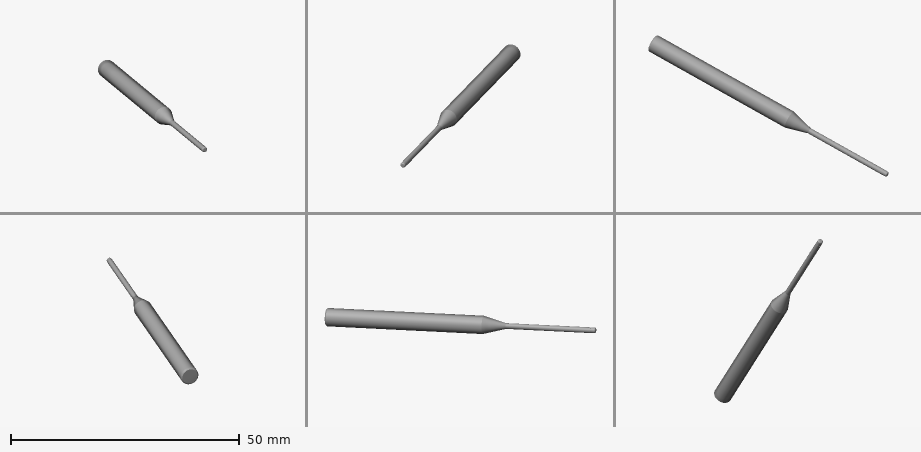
import cadquery as cq

total_length = 60.0
shank_length = 34.9
neck_start = 40.0
head_length = 1.2
head_start = total_length - head_length

shank_radius = 4.0 / 2
neck_radius = 1.25 / 2
head_radius = 1.2 / 2
end_chamfer = 0.3
corner_radius = 0.3


def make_shank():
    """Chamfered shank with a cone down to the slender neck."""
    profile = (
        cq.Workplane("XZ")
        .moveTo(0, 0)
        .lineTo(0, shank_radius - end_chamfer)
        .lineTo(end_chamfer, shank_radius)
        .lineTo(shank_length, shank_radius)
        .lineTo(neck_start, neck_radius)
        .lineTo(head_start, neck_radius)
        .lineTo(head_start, 0)
        .close()
    )
    return profile.revolve(360, (0, 0, 0), (1, 0, 0))


def make_head():
    """Short cylindrical cutting head with a rounded front corner."""
    blank = cq.Workplane("YZ", origin=(head_start, 0, 0)).circle(head_radius).extrude(head_length)
    return blank.faces(">X").edges().fillet(corner_radius)


shank = make_shank()
head = make_head()

result = cq.Compound.makeCompound([shank.val(), head.val()])